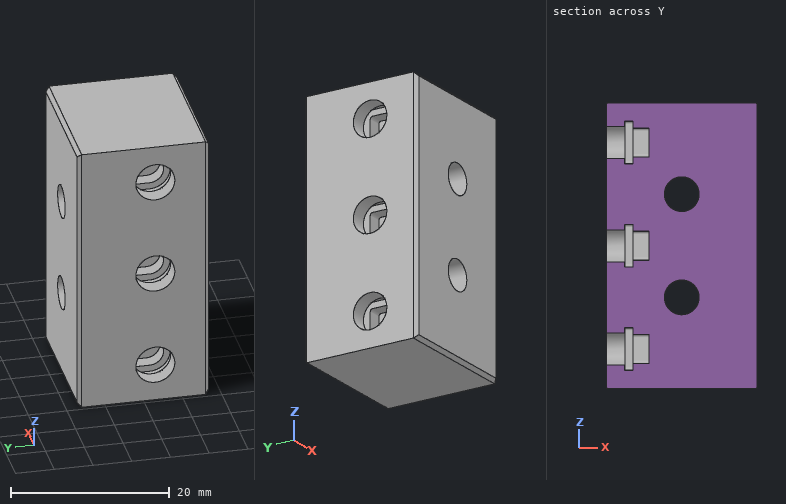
import cadquery as cq

width = 19.0
depth = 17.0
height = 36.0
edge_chamfer = 0.5

mount_diameter = 4.32
mount_pitch = 13.0

port_pitch = mount_pitch
port_y = -1.5
entry_diameter = 5.0
entry_depth = 2.35

pocket_corner = 0.35
outer_pocket_radius = 2.65
outer_pocket_flat = 3.53
outer_pocket_depth = 1.0

inner_pocket_radius = 1.8
inner_pocket_flat = 2.12
inner_pocket_depth = 2.0

left_face = -width / 2


def make_block():
    """Block with chamfered edges around its -Y and +Y faces."""
    block = cq.Workplane("XY").box(width, depth, height)
    return block.faces("<Y or >Y").edges().chamfer(edge_chamfer)


def mounting_hole(z):
    """Cutter for a through hole along Y."""
    return cq.Workplane("XZ").center(0, z).circle(mount_diameter / 2).extrude(depth / 2, both=True)


def d_pocket(start_x, length, radius, flat):
    """D-shaped prism along X, round towards -Y, with its two +Y corners rounded."""
    return (
        cq.Workplane("YZ", origin=(start_x, port_y, 0))
        .moveTo(0, -radius)
        .lineTo(flat, -radius)
        .lineTo(flat, radius)
        .lineTo(0, radius)
        .threePointArc((-radius, 0), (0, -radius))
        .close()
        .extrude(length)
        .edges("|X and >Y")
        .fillet(pocket_corner)
    )


def make_port():
    """Cutter for one port at mid height."""
    outer_start = left_face + entry_depth
    inner_start = outer_start + outer_pocket_depth
    entry = (
        cq.Workplane("YZ", origin=(left_face, port_y, 0))
        .circle(entry_diameter / 2)
        .extrude(entry_depth)
    )
    outer = d_pocket(outer_start, outer_pocket_depth, outer_pocket_radius, outer_pocket_flat)
    inner = d_pocket(inner_start, inner_pocket_depth, inner_pocket_radius, inner_pocket_flat)
    return entry.union(outer).union(inner)


result = make_block()

for hole_z in (-mount_pitch / 2, mount_pitch / 2):
    result = result.cut(mounting_hole(hole_z))

port = make_port()
for port_z in (-port_pitch, 0, port_pitch):
    result = result.cut(port.translate((0, 0, port_z)))